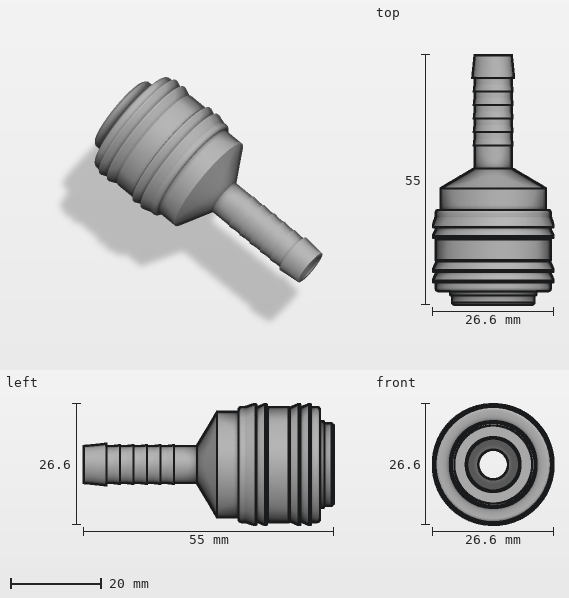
import cadquery as cq

length = 55.0

nose_radius = 9.15
nose_chamfer = 0.55
collar_start = 2.1
collar_radius = 9.55
collar_round = collar_radius - nose_radius

sleeve_start = 3.0
sleeve_end = 20.95
sleeve_radius = 12.7
sleeve_round = 0.75

ridge_radius = 13.3
ridge_length = 2.3
ridge_tip_width = 0.3
lip_chamfer = 0.15
groove_radius = 12.5
front_ridges_start = 5.0
front_groove_end = 9.95
front_groove_wall = 0.35
rear_ridges_start = 14.75
rear_groove_start = 14.45

shoulder_radius = 11.65
shoulder_end = 25.65
cone_end = 30.1

stem_diameter = 8.2
stem_radius = stem_diameter / 2
barb_radius = 4.3
barb_length = 1.5
barb_pitch = 2 * barb_length
barb_count = 5
end_barb_start = 50.0
end_barb_radius = 4.6

mouth_radius = 6.05
mouth_depth = 4.5
socket_radius = 5.7
socket_taper = 0.35
socket_depth = 16.5
bore_radius = 3.25


def cylinder(radius, start, end):
    """Cylinder about the Y axis between two positions."""
    return cq.Workplane("XZ", origin=(0, start, 0)).circle(radius).extrude(start - end)


def taper(start, start_radius, end, end_radius):
    """Solid cone frustum about the Y axis."""
    outline = [(0, start), (start_radius, start), (end_radius, end), (0, end)]
    return cq.Workplane("XY").polyline(outline).close().revolve(360, (0, 0), (0, 1))


def ridge(start, end_radius):
    """Sharp grip ridge whose lip is at start and whose long taper ends at end_radius."""
    bevel_end = start + lip_chamfer
    tip_end = bevel_end + ridge_tip_width
    lip = taper(start, ridge_radius - lip_chamfer, bevel_end, ridge_radius)
    tip = cylinder(ridge_radius, bevel_end, tip_end)
    return lip.union(tip).union(taper(tip_end, ridge_radius, start + ridge_length, end_radius))


def make_nose():
    nose = cylinder(nose_radius, 0, sleeve_start).faces("<Y").chamfer(nose_chamfer)
    collar = cylinder(collar_radius, collar_start, sleeve_start).faces("<Y").edges().fillet(collar_round)
    return nose.union(collar)


def make_sleeve():
    sleeve = cylinder(sleeve_radius, sleeve_start, sleeve_end)
    sleeve = sleeve.faces("<Y or >Y").edges().fillet(sleeve_round)
    front_second = front_ridges_start + ridge_length
    rear_second = rear_ridges_start + ridge_length

    wall_start = front_groove_end - front_groove_wall
    front_core = cylinder(groove_radius, front_ridges_start, wall_start)
    front_core = front_core.union(taper(wall_start, groove_radius, front_groove_end, sleeve_radius))
    sleeve = sleeve.cut(cylinder(ridge_radius, front_ridges_start, front_groove_end)).union(front_core)
    sleeve = sleeve.cut(cylinder(ridge_radius, rear_groove_start, rear_second))
    sleeve = sleeve.union(cylinder(groove_radius, rear_groove_start, rear_second))

    for start in (front_ridges_start, front_second, rear_ridges_start):
        sleeve = sleeve.union(ridge(start, groove_radius))
    return sleeve.union(ridge(rear_second, sleeve_radius))


def make_stem():
    stem = cylinder(stem_radius, cone_end, end_barb_start)
    stem = stem.union(taper(end_barb_start, end_barb_radius, length, stem_radius))
    for index in range(barb_count):
        barb_end = end_barb_start - barb_length - index * barb_pitch
        stem = stem.union(taper(barb_end - barb_length, barb_radius, barb_end, stem_radius))
    return stem


def make_bore():
    taper_end = mouth_depth + socket_taper
    bore = cylinder(mouth_radius, 0, mouth_depth)
    bore = bore.union(taper(mouth_depth, mouth_radius, taper_end, socket_radius))
    bore = bore.union(cylinder(socket_radius, taper_end, socket_depth))
    return bore.union(cylinder(bore_radius, socket_depth, length))


shoulder = cylinder(shoulder_radius, sleeve_end, shoulder_end)
cone = taper(shoulder_end, shoulder_radius, cone_end, stem_radius)

body = make_nose().union(make_sleeve()).union(shoulder).union(cone).union(make_stem())
result = body.cut(make_bore())